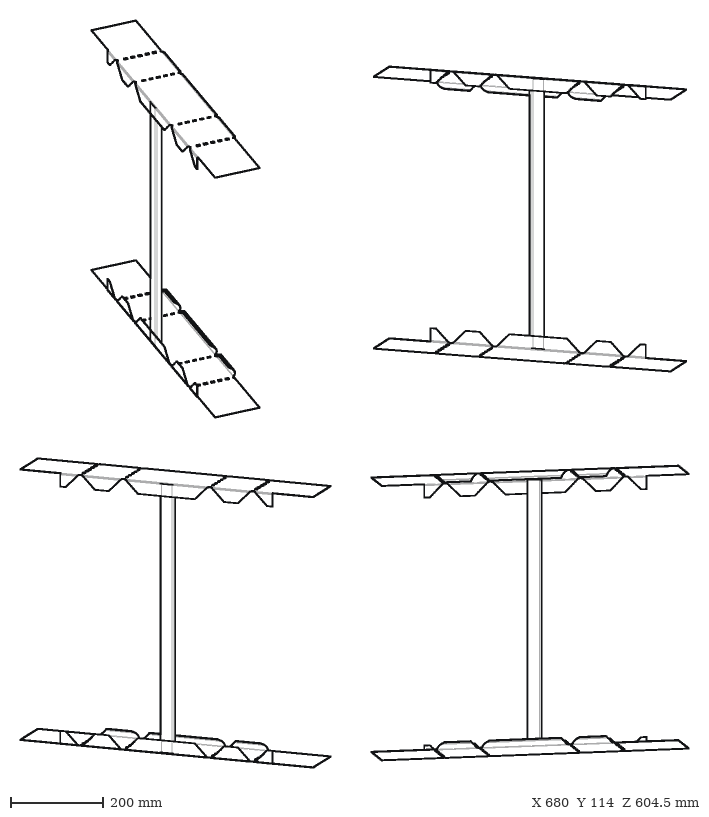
import cadquery as cq
import math

length = 680.0
depth = 114.0
height = 604.5

sheet = 1.5
flange_height = 30.0
flange_length = 493.0
flange_bend_radius = 3.0
lip_radius = 7.0
lip_turn = math.radians(150)
lip_tail = 9.0

inner_fold = 100.0
outer_fold = 2 * inner_fold
notch_half_width = 5.5
edge_notch_inset = 3.0

hole_count = 5
hole_pitch = 17.0
hole_length = 7.5
inner_hole_width = 3.0
outer_hole_width = 5.0

post_width = 30.5
post_depth = 16.0
post_corner_radius = 3.5

rail_top = height / 2
plate_underside = rail_top - sheet
plate_front = flange_bend_radius
plate_back = depth - lip_radius
plate_middle = (plate_front + plate_back) / 2
hole_row_middle = depth / 2
plate_depth = plate_back - plate_front
folds = [-outer_fold, -inner_fold, inner_fold, outer_fold]


def make_plate():
    """Flat strip of the rail, running its whole length."""
    return cq.Workplane("XY").box(length, plate_depth, sheet).translate(
        (0, plate_middle, rail_top - sheet / 2)
    )


def make_flange():
    """Front flange, bent down from the plate."""
    inner_bend_radius = flange_bend_radius - sheet
    bend_center = rail_top - flange_bend_radius
    diagonal = math.sqrt(0.5)
    flange_bottom = rail_top - flange_height
    return (
        cq.Workplane("YZ", origin=(-flange_length / 2, 0, 0))
        .moveTo(plate_front, rail_top)
        .threePointArc(
            (plate_front - flange_bend_radius * diagonal, bend_center + flange_bend_radius * diagonal),
            (0, bend_center),
        )
        .lineTo(0, flange_bottom)
        .lineTo(sheet, flange_bottom)
        .lineTo(sheet, bend_center)
        .threePointArc(
            (plate_front - inner_bend_radius * diagonal, bend_center + inner_bend_radius * diagonal),
            (plate_front, plate_underside),
        )
        .close()
        .extrude(flange_length)
    )


def make_lip():
    """Back lip, curled down and under the plate and ending in a straight tail."""
    bend_center = rail_top - lip_radius
    inner_radius = lip_radius - sheet

    def on_curl(radius, turn):
        return (plate_back + radius * math.sin(turn), bend_center + radius * math.cos(turn))

    def tail_end(radius):
        y, z = on_curl(radius, lip_turn)
        return (y + lip_tail * math.cos(lip_turn), z - lip_tail * math.sin(lip_turn))

    return (
        cq.Workplane("YZ", origin=(-outer_fold, 0, 0))
        .moveTo(*on_curl(lip_radius, 0))
        .threePointArc(on_curl(lip_radius, lip_turn / 2), on_curl(lip_radius, lip_turn))
        .lineTo(*tail_end(lip_radius))
        .lineTo(*tail_end(inner_radius))
        .lineTo(*on_curl(inner_radius, lip_turn))
        .threePointArc(on_curl(inner_radius, lip_turn / 2), on_curl(inner_radius, 0))
        .close()
        .extrude(2 * outer_fold)
    )


def make_fold_notch(fold):
    """45 degree notch below the plate, cutting through both the flange and the lip."""
    flared_half_width = notch_half_width + flange_height
    return (
        cq.Workplane("XZ")
        .polyline([
            (fold - notch_half_width, plate_underside),
            (fold + notch_half_width, plate_underside),
            (fold + flared_half_width, plate_underside - flange_height),
            (fold - flared_half_width, plate_underside - flange_height),
        ])
        .close()
        .extrude(-depth)
    )


def make_edge_notch(fold, edge, outward):
    """45 degree notch that opens from just inside a plate edge across the bend there."""
    apex = edge - outward * edge_notch_inset
    reach = edge_notch_inset + lip_radius
    return (
        cq.Workplane("XY", origin=(0, 0, rail_top - lip_radius))
        .polyline([
            (fold, apex),
            (fold - reach, apex + outward * reach),
            (fold + reach, apex + outward * reach),
        ])
        .close()
        .extrude(lip_radius)
    )


def make_fold_holes(fold):
    """Row of perforations across the plate on one fold line."""
    hole_width = outer_hole_width if abs(fold) == outer_fold else inner_hole_width
    return (
        cq.Workplane("XY", origin=(fold, hole_row_middle, plate_underside))
        .rarray(hole_pitch, hole_pitch, 1, hole_count)
        .rect(hole_width, hole_length)
        .extrude(sheet)
    )


def make_top_rail():
    rail = make_plate().union(make_flange()).union(make_lip())
    for fold in folds:
        rail = rail.cut(make_fold_notch(fold))
        rail = rail.cut(make_edge_notch(fold, plate_front, -1))
        rail = rail.cut(make_edge_notch(fold, plate_back, 1))
        rail = rail.cut(make_fold_holes(fold))
    return rail


def make_post():
    """Upright bar with rounded corners, standing inside both flanges and ending where their bends begin."""
    post_height = 2 * (rail_top - flange_bend_radius)
    return (
        cq.Workplane("XY")
        .box(post_width, post_depth, post_height)
        .edges("|Z")
        .fillet(post_corner_radius)
        .translate((0, sheet + post_depth / 2, 0))
    )


top_rail = make_top_rail()
bottom_rail = top_rail.mirror("XY")
post = make_post()

result = cq.Compound.makeCompound([top_rail.val(), bottom_rail.val(), post.val()])